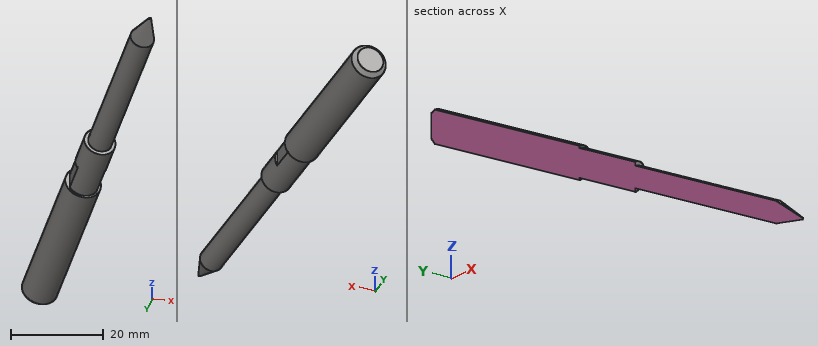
import cadquery as cq

total_length = 100.0
back_y = total_length / 2
tip_y = -total_length / 2

handle_diameter = 8.0
handle_length = 40.0
handle_chamfer = 1.0

collar_diameter = 7.0
collar_length = 15.0
flat_length = 7.0
across_flats = 6.0

pin_diameter = 5.3
point_length = 7.0
tip_diameter = 0.5

handle_front_y = back_y - handle_length
collar_front_y = handle_front_y - collar_length
point_start_y = tip_y + point_length


def turned_body():
    """Solid of revolution about the Y axis, from the tip to the back face."""
    handle_radius = handle_diameter / 2
    half_profile = [
        (0, tip_y),
        (tip_diameter / 2, tip_y),
        (pin_diameter / 2, point_start_y),
        (pin_diameter / 2, collar_front_y),
        (collar_diameter / 2, collar_front_y),
        (collar_diameter / 2, handle_front_y),
        (handle_radius, handle_front_y),
        (handle_radius, back_y - handle_chamfer),
        (handle_radius - handle_chamfer, back_y),
        (0, back_y),
    ]
    return cq.Workplane("XY").polyline(half_profile).close().revolve(360, (0, 0, 0), (0, 1, 0))


def flat_cutter(side):
    """Block that removes the collar beyond one flat; side is -1 or +1 along X."""
    depth = (collar_diameter - across_flats) / 2
    centre_x = side * (across_flats + depth) / 2
    centre_y = handle_front_y - flat_length / 2
    return cq.Workplane("XY").box(depth, flat_length, collar_diameter).translate((centre_x, centre_y, 0))


result = turned_body()
for side in (-1, 1):
    result = result.cut(flat_cutter(side))